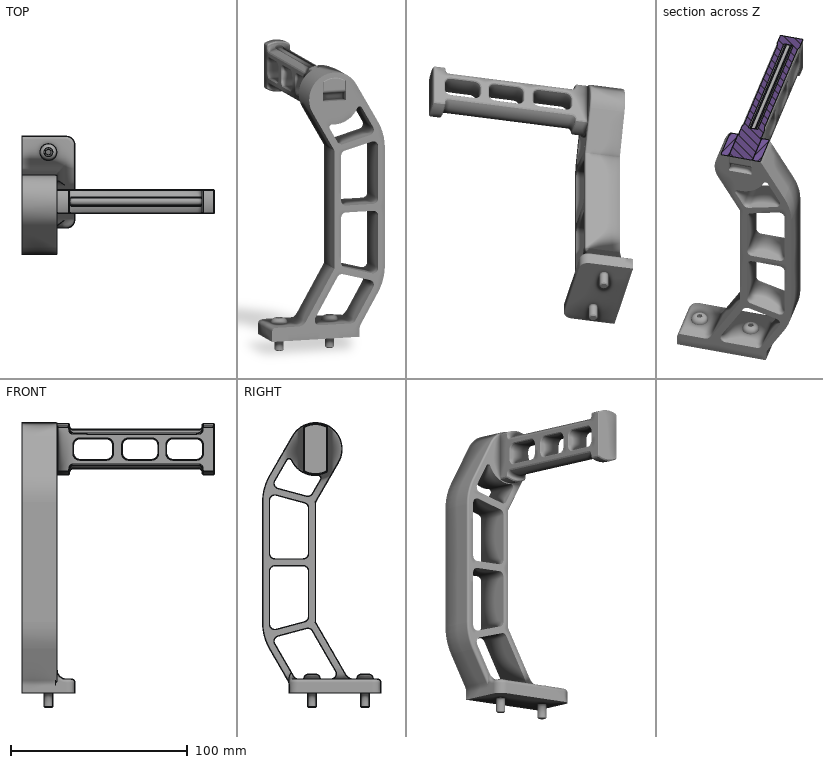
import cadquery as cq
import math

SLANT = math.radians(30)
ARM_WIDTH = 30.0
ARM_DEPTH = 20.0
HEAD_RADIUS = ARM_WIDTH / 2
LOWER_BEND_Z = 40.0
UPPER_BEND_Z = 108.0
HEAD_Z = UPPER_BEND_Z + ARM_WIDTH
MIDDLE_Z = (LOWER_BEND_Z + UPPER_BEND_Z) / 2
ARM_EDGE_ROUND = 1.0

BASE_HEIGHT = 8.0
BASE_DEPTH = 30.0
BASE_BACK_Y = 37.0
BASE_FRONT_Y = -15.0
BASE_CORNER_RADIUS = 5.0
BASE_TOP_ROUND = 2.0
FOOT_FILLET = 5.0

WALL = 4.0
WINDOW_CORNER = 3.0
HEAD_WINDOW_TIP = 1.5
CUT_LENGTH = ARM_DEPTH + BASE_DEPTH

HANDLE_WIDTH = 13.5
HANDLE_END_X = 109.0
FLANGE_LENGTH = 7.0
GRIP_START_X = ARM_DEPTH + FLANGE_LENGTH
GRIP_END_X = HANDLE_END_X - FLANGE_LENGTH
FLANGE_RADIUS = 14.5
FLANGE_CHAMFER = 0.6
GRIP_RADIUS = 11.2
SHOULDER_FILLET = 2.0
SIDE_CHAMFER = 0.5
SLOT_HEIGHT = 11.6
SLOT_CORNER = 3.5
SLOT_ENDS = ((29.3, 51.3), (56.9, 76.9), (81.9, 102.2))

TANG_TOP_RADIUS = 12.0
TANG_BOTTOM_Z = HEAD_Z - 1.4
TANG_CHAMFER = 0.5
HOOK_RADIUS = 2.0
HOOK_LENGTH = 6.0
TANG_STEP_Z = HEAD_Z + 1.0

TUBE_DIAMETER = 4.0
TUBE_BORE = 2.0
TUBE_TOP_Z = HEAD_Z + 11.3
GROOVE_DIAMETER = 5.4

SCREW_X = 15.0
SCREW_YS = (28.0, -2.0)
SCREW_DIAMETER = 5.0
SCREW_LENGTH = 16.0
SCREW_HOLE_DIAMETER = 5.4
SCREW_HEAD_DIAMETER = 9.5
SCREW_HEAD_TOP_DIAMETER = 5.0
SCREW_HEAD_HEIGHT = 2.75
SCREW_TIP_CHAMFER = 0.5
SOCKET_ACROSS_FLATS = 3.0
SOCKET_DEPTH = 1.6

MARGIN = 0.1


def around_bend(bend_z, angle):
    """Outer end of the line across the arm from a bend's inner corner, tilted up by an angle."""
    return (-ARM_WIDTH * math.cos(angle), bend_z + ARM_WIDTH * math.sin(angle))


LOWER_BEND_END = around_bend(LOWER_BEND_Z, -SLANT)
UPPER_BEND_END = around_bend(UPPER_BEND_Z, SLANT)
OVERHANG_Z = LOWER_BEND_END[1] - (BASE_FRONT_Y - LOWER_BEND_END[0]) / math.tan(SLANT)


def lower_back_y(z):
    """Y of the slanted back edge of the lower arm."""
    return (LOWER_BEND_Z - z) * math.tan(SLANT)


def lower_front_y(z):
    """Y of the slanted front edge of the lower arm."""
    return LOWER_BEND_END[0] + (LOWER_BEND_END[1] - z) * math.tan(SLANT)


def make_base():
    return (
        cq.Workplane("XY")
        .box(BASE_DEPTH, BASE_BACK_Y - BASE_FRONT_Y, BASE_HEIGHT, centered=False)
        .translate((0, BASE_FRONT_Y, 0))
        .edges("|Z and >X")
        .fillet(BASE_CORNER_RADIUS)
    )


def make_arm():
    root_z = BASE_HEIGHT / 2
    side_y = HEAD_RADIUS * math.cos(SLANT)
    side_z = HEAD_RADIUS * math.sin(SLANT)
    return (
        cq.Workplane("YZ")
        .moveTo(lower_back_y(root_z), root_z)
        .lineTo(0, LOWER_BEND_Z)
        .lineTo(0, UPPER_BEND_Z)
        .lineTo(side_y, HEAD_Z - side_z)
        .threePointArc((side_z, HEAD_Z + side_y), (-side_y, HEAD_Z + side_z))
        .lineTo(*UPPER_BEND_END)
        .threePointArc(around_bend(UPPER_BEND_Z, SLANT / 2), (-ARM_WIDTH, UPPER_BEND_Z))
        .lineTo(-ARM_WIDTH, LOWER_BEND_Z)
        .threePointArc(around_bend(LOWER_BEND_Z, -SLANT / 2), LOWER_BEND_END)
        .lineTo(BASE_FRONT_Y, OVERHANG_Z)
        .lineTo(BASE_FRONT_Y, root_z)
        .close()
        .extrude(ARM_DEPTH)
    )


def make_front_fillet():
    """Concave fillet where the overhanging front of the arm meets the front of the base."""
    reach = FOOT_FILLET * math.tan(SLANT / 2)
    centre = (BASE_FRONT_Y - FOOT_FILLET, OVERHANG_Z - reach)
    middle = (
        centre[0] + FOOT_FILLET * math.cos(SLANT / 2),
        centre[1] + FOOT_FILLET * math.sin(SLANT / 2),
    )
    upper_z = OVERHANG_Z + reach * math.cos(SLANT)
    return (
        cq.Workplane("YZ")
        .moveTo(BASE_FRONT_Y, OVERHANG_Z)
        .lineTo(BASE_FRONT_Y, OVERHANG_Z - reach)
        .threePointArc(middle, (lower_front_y(upper_z), upper_z))
        .close()
        .extrude(ARM_DEPTH - ARM_EDGE_ROUND)
    )


def window(points):
    """Through opening in the arm with the given corners, not yet rounded."""
    return cq.Workplane("YZ").polyline(points).close().extrude(CUT_LENGTH)


def rib_z(bend_z, y, tilt):
    """Z of a rib edge that is bend_z high at y = 0 and rises towards -Y by the tilt."""
    return bend_z - y * math.tan(tilt)


def rib_meets_slant(edge_z, slant_y, tilt):
    """Point where a rib edge, edge_z high at y = 0, meets the slanted line at slant_y for z = 0."""
    run = math.copysign(math.tan(SLANT), tilt)
    y = (slant_y + run * edge_z) / (1 + run * math.tan(tilt))
    return (y, rib_z(edge_z, y, tilt))


def make_windows():
    tilt = SLANT / 2
    rib_half = WALL / 2 / math.cos(tilt)
    wall_y = WALL / math.cos(SLANT)
    back_y = -WALL
    front_y = WALL - ARM_WIDTH

    lower_top = LOWER_BEND_Z - rib_half
    lower_back = lower_back_y(0) - wall_y
    lower_front = lower_front_y(0) + wall_y
    lower = window([
        (lower_back_y(BASE_HEIGHT) - wall_y, BASE_HEIGHT),
        rib_meets_slant(lower_top, lower_back, -tilt),
        rib_meets_slant(lower_top, lower_front, -tilt),
        (lower_front_y(BASE_HEIGHT) + wall_y, BASE_HEIGHT),
    ])
    middle_bottom = LOWER_BEND_Z + rib_half
    lower_middle = window([
        (back_y, rib_z(middle_bottom, back_y, -tilt)),
        (back_y, MIDDLE_Z - WALL / 2),
        (front_y, MIDDLE_Z - WALL / 2),
        (front_y, rib_z(middle_bottom, front_y, -tilt)),
    ])
    middle_top = UPPER_BEND_Z - rib_half
    upper_middle = window([
        (back_y, MIDDLE_Z + WALL / 2),
        (back_y, rib_z(middle_top, back_y, tilt)),
        (front_y, rib_z(middle_top, front_y, tilt)),
        (front_y, MIDDLE_Z + WALL / 2),
    ])
    rounded = [shape.edges("|X").fillet(WINDOW_CORNER) for shape in (lower, lower_middle, upper_middle)]
    return rounded + [make_head_window(rib_half, wall_y, tilt)]


def make_head_window(rib_half, wall_y, tilt):
    """Top window, bounded above by the round head."""
    bottom = UPPER_BEND_Z + rib_half
    back = -UPPER_BEND_Z * math.tan(SLANT) - wall_y
    front = UPPER_BEND_END[0] - UPPER_BEND_END[1] * math.tan(SLANT) + wall_y
    inside_y = (HEAD_RADIUS - WALL) * math.cos(SLANT)
    inside_z = (HEAD_RADIUS - WALL) * math.sin(SLANT)
    head_disc = cq.Workplane("YZ").center(0, HEAD_Z).circle(HEAD_RADIUS).extrude(CUT_LENGTH)
    opening = window([
        rib_meets_slant(bottom, back, tilt),
        (inside_y, HEAD_Z - inside_z),
        (-inside_y, HEAD_Z + inside_z),
        rib_meets_slant(bottom, front, tilt),
    ]).cut(head_disc)
    tip_bottom_z = HEAD_Z - HEAD_RADIUS - 1
    tips = cq.selectors.BoxSelector((0, -ARM_WIDTH, tip_bottom_z), (CUT_LENGTH, ARM_WIDTH, HEAD_Z))
    opening = opening.edges("|X").edges(tips).fillet(HEAD_WINDOW_TIP)
    rib_corners = cq.selectors.BoxSelector(
        (0, -ARM_WIDTH, UPPER_BEND_Z - 1), (CUT_LENGTH, ARM_WIDTH, UPPER_BEND_Z + 10)
    )
    return opening.edges("|X").edges(rib_corners).fillet(WINDOW_CORNER)


def tang_section(start_x, end_x):
    """Square bar with a crowned top that fills the socket in the arm head."""
    width_box = (
        cq.Workplane("XY")
        .box(end_x - start_x, HANDLE_WIDTH, HEAD_RADIUS, centered=(False, True, False))
        .translate((start_x, 0, TANG_BOTTOM_Z))
    )
    crown = (
        cq.Workplane("YZ", origin=(start_x, 0, HEAD_Z))
        .circle(TANG_TOP_RADIUS)
        .extrude(end_x - start_x)
    )
    return width_box.intersect(crown)


def make_bracket():
    body = make_base().union(make_arm())
    foot_corner = cq.selectors.BoxSelector(
        (1, -10, BASE_HEIGHT - MARGIN), (ARM_DEPTH + MARGIN, 20, BASE_HEIGHT + MARGIN)
    )
    body = body.edges(foot_corner).fillet(FOOT_FILLET)
    above_foot = BASE_HEIGHT + FOOT_FILLET + MARGIN
    outer_rim = cq.selectors.BoxSelector(
        (ARM_DEPTH - MARGIN, -ARM_WIDTH - 1, above_foot),
        (ARM_DEPTH + MARGIN, ARM_WIDTH, HEAD_Z + ARM_WIDTH),
    )
    body = body.edges(outer_rim).fillet(ARM_EDGE_ROUND)
    base_rim = cq.selectors.BoxSelector(
        (BASE_DEPTH - MARGIN, BASE_FRONT_Y, BASE_HEIGHT - MARGIN),
        (BASE_DEPTH + MARGIN, BASE_BACK_Y, BASE_HEIGHT + MARGIN),
    )
    body = body.edges(base_rim).fillet(BASE_TOP_ROUND)
    body = body.union(make_front_fillet())
    for opening in make_windows():
        body = body.cut(opening)
    body = body.cut(tang_section(0, ARM_DEPTH))
    holes = (
        cq.Workplane("XY")
        .pushPoints([(SCREW_X, y) for y in SCREW_YS])
        .circle(SCREW_HOLE_DIAMETER / 2)
        .extrude(BASE_HEIGHT)
    )
    return body.cut(holes)


def make_bar():
    """Grip between two end flanges, all with crowned top and bottom."""
    turned = (
        cq.Workplane("XZ")
        .moveTo(ARM_DEPTH, 0)
        .lineTo(ARM_DEPTH, FLANGE_RADIUS)
        .lineTo(GRIP_START_X - FLANGE_CHAMFER, FLANGE_RADIUS)
        .lineTo(GRIP_START_X, FLANGE_RADIUS - FLANGE_CHAMFER)
        .lineTo(GRIP_START_X, GRIP_RADIUS + SHOULDER_FILLET)
        .radiusArc((GRIP_START_X + SHOULDER_FILLET, GRIP_RADIUS), -SHOULDER_FILLET)
        .lineTo(GRIP_END_X - SHOULDER_FILLET, GRIP_RADIUS)
        .radiusArc((GRIP_END_X, GRIP_RADIUS + SHOULDER_FILLET), -SHOULDER_FILLET)
        .lineTo(GRIP_END_X, FLANGE_RADIUS - FLANGE_CHAMFER)
        .lineTo(GRIP_END_X + FLANGE_CHAMFER, FLANGE_RADIUS)
        .lineTo(HANDLE_END_X - FLANGE_CHAMFER, FLANGE_RADIUS)
        .lineTo(HANDLE_END_X, FLANGE_RADIUS - FLANGE_CHAMFER)
        .lineTo(HANDLE_END_X, 0)
        .close()
        .revolve(360, (0, 0, 0), (1, 0, 0))
        .translate((0, 0, HEAD_Z))
    )
    slab = (
        cq.Workplane("XY")
        .box(HANDLE_END_X, HANDLE_WIDTH, 2 * ARM_WIDTH, centered=(False, True, True))
        .translate((0, 0, HEAD_Z))
    )
    return turned.intersect(slab)


def make_tang():
    """Square end of the handle; its top half hooks out to the arm's mounting face."""
    step_top = TANG_STEP_Z + 2 * HOOK_RADIUS
    full = tang_section(0, ARM_DEPTH).faces("<X").chamfer(TANG_CHAMFER)
    recess = (
        cq.Workplane("XZ", origin=(0, HANDLE_WIDTH, 0))
        .moveTo(0, TANG_BOTTOM_Z)
        .lineTo(0, step_top)
        .radiusArc((HOOK_RADIUS, step_top - HOOK_RADIUS), -HOOK_RADIUS)
        .lineTo(HOOK_LENGTH - HOOK_RADIUS, step_top - HOOK_RADIUS)
        .radiusArc((HOOK_LENGTH, TANG_STEP_Z), HOOK_RADIUS)
        .lineTo(HOOK_LENGTH, TANG_BOTTOM_Z)
        .close()
        .extrude(2 * HANDLE_WIDTH)
    )
    return full.cut(recess)


def make_handle():
    bar = make_bar()
    for start, end in SLOT_ENDS:
        slot = (
            cq.Workplane("XY")
            .box(end - start, 2 * HANDLE_WIDTH, SLOT_HEIGHT)
            .edges("|Y")
            .fillet(SLOT_CORNER)
            .translate(((start + end) / 2, 0, HEAD_Z))
        )
        bar = bar.cut(slot)
    bar = bar.faces("<Y or >Y").chamfer(SIDE_CHAMFER)
    groove_z = TUBE_TOP_Z - TUBE_DIAMETER + GROOVE_DIAMETER / 2
    groove = (
        cq.Workplane("YZ", origin=(GRIP_START_X, 0, groove_z))
        .circle(GROOVE_DIAMETER / 2)
        .extrude(GRIP_END_X - GRIP_START_X)
    )
    return bar.cut(groove).union(make_tang())


def make_tube():
    return (
        cq.Workplane("YZ", origin=(GRIP_START_X, 0, TUBE_TOP_Z - TUBE_DIAMETER / 2))
        .circle(TUBE_DIAMETER / 2)
        .circle(TUBE_BORE / 2)
        .extrude(GRIP_END_X - GRIP_START_X)
    )


def make_screw(y):
    head_radius = SCREW_HEAD_DIAMETER / 2
    top_radius = SCREW_HEAD_TOP_DIAMETER / 2
    shank_radius = SCREW_DIAMETER / 2
    dome_inset = head_radius - top_radius
    dome_radius = (SCREW_HEAD_HEIGHT**2 + dome_inset**2) / (2 * dome_inset)
    socket = (
        cq.Workplane("XY", origin=(0, 0, SCREW_HEAD_HEIGHT - SOCKET_DEPTH))
        .polygon(6, SOCKET_ACROSS_FLATS, circumscribed=True)
        .extrude(SOCKET_DEPTH)
    )
    return (
        cq.Workplane("XZ")
        .moveTo(0, SCREW_HEAD_HEIGHT)
        .lineTo(top_radius, SCREW_HEAD_HEIGHT)
        .radiusArc((head_radius, 0), dome_radius)
        .lineTo(shank_radius, 0)
        .lineTo(shank_radius, SCREW_TIP_CHAMFER - SCREW_LENGTH)
        .lineTo(shank_radius - SCREW_TIP_CHAMFER, -SCREW_LENGTH)
        .lineTo(0, -SCREW_LENGTH)
        .close()
        .revolve(360, (0, 0, 0), (0, 1, 0))
        .cut(socket)
        .translate((SCREW_X, y, BASE_HEIGHT))
    )


bracket = make_bracket()
handle = make_handle()
tube = make_tube()
screws = [make_screw(y) for y in SCREW_YS]

result = cq.Compound.makeCompound(
    [bracket.val(), handle.val(), tube.val(), *[screw.val() for screw in screws]]
)